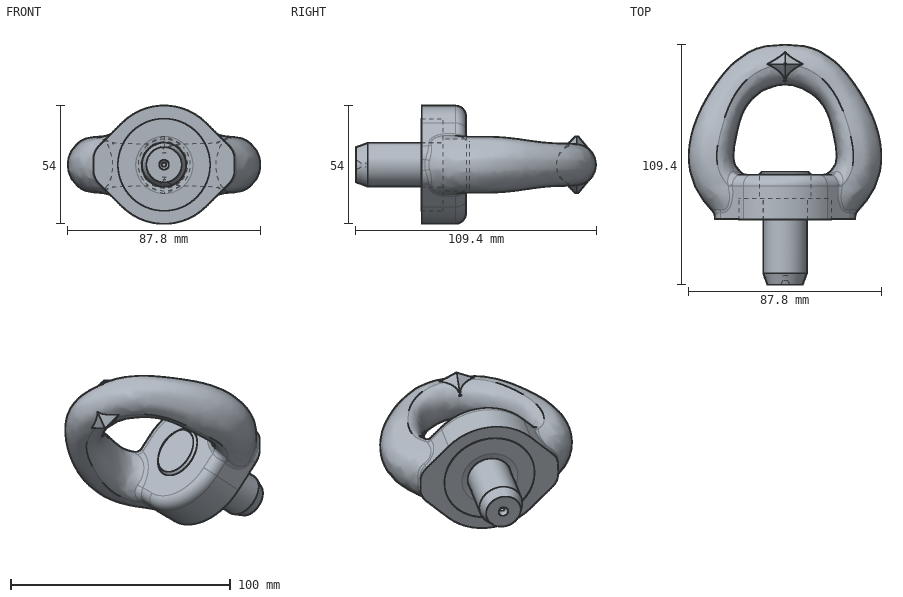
import cadquery as cq
import math


BASE_DIAMETER = 54.0
BASE_THICKNESS = 20.2
BASE_HALF_LENGTH = 32.0
BASE_CORNER_RADIUS = 8.8
BASE_BACK_FILLET = 5.0

RING_CROWN = ((0, 79.4), (0, 61.2), 9.2)
RING_SECTIONS = [
    ((24.3, 70.2), (13.1, 56.2), 9.7),
    ((37.0, 52.7), (20.5, 44.9), 11.2),
    ((43.9, 29.0), (23.4, 30.1), 12.8),
    ((42.6, 18.9), (22.8, 24.9), 12.8),
    ((38.5, 10.3), (19.3, 20.6), 13.1),
    ((31.3, -4.4), (13.6, 5.8), 13.1),
]

JOINT_FILLET = 3.1

PEAK_Y = 70.6
PEAK_HEIGHT = 13.0
PEAK_FOOT_HEIGHT = 5.5
PEAK_FOOT_HALF_WIDTH = 16.4
PEAK_FOOT_OUTER = 6.9
PEAK_FOOT_INNER = 8.0
PEAK_TIP_SIZE = 1.2

BUSH_DIAMETER = 42.0
BUSH_THICKNESS = 9.8
BUSH_PROUD = 0.3
BUSH_BORE = 20.2
BUSH_COUNTERSINK_DIAMETER = 26.0
BUSH_COUNTERSINK_DEPTH = 0.3

PIN_DIAMETER = 20.0
PIN_LENGTH = 30.0
PIN_TIP_DIAMETER = 16.1
PIN_TIP_LENGTH = 5.4
HEAD_DIAMETER = 23.6
HEAD_PROUD = 1.3
HEAD_CHAMFER = 1.2
CENTRE_DIAMETER = 4.5
CENTRE_PILOT_DIAMETER = 2.0
CENTRE_CONE_HALF_ANGLE = 30.0
CENTRE_DEPTH = 4.4

TOLERANCE = 0.01
TRIM_SIZE = 109.4

bush_top = BUSH_THICKNESS - BUSH_PROUD
head_top = BASE_THICKNESS + HEAD_PROUD
centre_cone_depth = (
    (CENTRE_DIAMETER - CENTRE_PILOT_DIAMETER) / 2 / math.tan(math.radians(CENTRE_CONE_HALF_ANGLE))
)


def cylinder(diameter, y_start, y_end):
    """Cylinder along Y between two heights."""
    return cq.Workplane("XZ", origin=(0, y_start, 0)).circle(diameter / 2).extrude(y_start - y_end)


def revolve_about_y(profile):
    """Solid of revolution about Y from (radius, y) points."""
    return cq.Workplane("XY").polyline(profile).close().revolve(360, (0, 0, 0), (0, 1, 0))


def make_base():
    """Round boss with 45-degree flanks running out to two narrow flat ends."""
    radius = BASE_DIAMETER / 2
    tangent = radius * math.sqrt(0.5)
    end_half_width = 2 * tangent - BASE_HALF_LENGTH
    plate = (
        cq.Workplane("XZ")
        .moveTo(BASE_HALF_LENGTH, -end_half_width)
        .lineTo(BASE_HALF_LENGTH, end_half_width)
        .lineTo(tangent, tangent)
        .threePointArc((0, radius), (-tangent, tangent))
        .lineTo(-BASE_HALF_LENGTH, end_half_width)
        .lineTo(-BASE_HALF_LENGTH, -end_half_width)
        .lineTo(-tangent, -tangent)
        .threePointArc((0, -radius), (tangent, -tangent))
        .close()
        .extrude(-BASE_THICKNESS)
    )
    corners = [
        edge for edge in plate.edges("|Y").vals() if abs(edge.Center().x) > BASE_HALF_LENGTH - TOLERANCE
    ]
    rounded = plate.newObject(corners).fillet(BASE_CORNER_RADIUS)
    return rounded.faces(">Y").edges().fillet(BASE_BACK_FILLET)


def ring_wire(section, side):
    """Ring section on the +X (side = 1) or -X (side = -1) half: outer half circle, inner half ellipse."""
    outer, inner, half_thickness = section
    outer_point = cq.Vector(side * outer[0], outer[1], 0)
    inner_point = cq.Vector(side * inner[0], inner[1], 0)
    across = outer_point - inner_point
    inner_depth = across.Length - half_thickness
    centre = inner_point + across.normalized() * inner_depth
    up = cq.Vector(0, 0, 1)
    inner_half = cq.Edge.makeEllipse(half_thickness, inner_depth, centre, across.cross(up), up, 0, 180)
    outer_half = cq.Edge.makeThreePointArc(
        centre - up * half_thickness, outer_point, centre + up * half_thickness
    )
    return cq.Wire.assembleEdges([inner_half, outer_half])


def make_ring():
    """Eye ring lofted from its right foot over the crown to its left foot, cut off at Y = 0."""
    right = [ring_wire(section, 1) for section in reversed(RING_SECTIONS)]
    left = [ring_wire(section, -1) for section in RING_SECTIONS]
    loft = cq.Solid.makeLoft(right + [ring_wire(RING_CROWN, 1)] + left)
    below = cq.Workplane("XY").box(TRIM_SIZE, TRIM_SIZE, TRIM_SIZE).translate((0, -TRIM_SIZE / 2, 0))
    return cq.Workplane(loft).cut(below)


def make_peak(side):
    """Four-sided peak on the crown."""
    tip = PEAK_TIP_SIZE / 2
    return (
        cq.Workplane("XY", origin=(0, PEAK_Y, side * PEAK_FOOT_HEIGHT))
        .polyline([
            (PEAK_FOOT_HALF_WIDTH, 0),
            (0, PEAK_FOOT_OUTER),
            (-PEAK_FOOT_HALF_WIDTH, 0),
            (0, -PEAK_FOOT_INNER),
        ])
        .close()
        .workplane(offset=side * (PEAK_HEIGHT - PEAK_FOOT_HEIGHT))
        .polyline([(tip, 0), (0, tip), (-tip, 0), (0, -tip)])
        .close()
        .loft(ruled=True)
    )


def blend_joint(housing, base, ring):
    """Fillet the edges along which the ring runs into the base, above the mounting face."""
    def on_surface(point, body):
        return min(point.distance(face) for face in body.faces().vals()) < TOLERANCE

    def on_joint(edge):
        middle = cq.Vertex.makeVertex(*edge.positionAt(0.5).toTuple())
        return middle.Y > TOLERANCE and on_surface(middle, base) and on_surface(middle, ring)

    joint = [edge for edge in housing.edges().vals() if on_joint(edge)]
    return housing.newObject(joint).fillet(JOINT_FILLET)


def make_housing():
    """Base and eye ring in one piece, bored for the bush and the bolt head."""
    base = make_base()
    ring = make_ring()
    housing = blend_joint(base.union(ring), base, ring)
    for side in (1, -1):
        housing = housing.union(make_peak(side))
    housing = housing.cut(cylinder(BUSH_DIAMETER, 0, bush_top))
    return housing.cut(cylinder(HEAD_DIAMETER, bush_top, BASE_THICKNESS))


def make_bush():
    """Flat bush with a shallow countersink round the pin."""
    bore = BUSH_BORE / 2
    rim = BUSH_DIAMETER / 2
    return revolve_about_y([
        (bore, bush_top),
        (rim, bush_top),
        (rim, -BUSH_PROUD),
        (BUSH_COUNTERSINK_DIAMETER / 2, -BUSH_PROUD),
        (bore, BUSH_COUNTERSINK_DEPTH - BUSH_PROUD),
    ])


def make_bolt():
    """Headed pin with a tapered, centre-drilled tip."""
    head = HEAD_DIAMETER / 2
    pin = PIN_DIAMETER / 2
    pilot = CENTRE_PILOT_DIAMETER / 2
    return revolve_about_y([
        (0, head_top),
        (head - HEAD_CHAMFER, head_top),
        (head, head_top - HEAD_CHAMFER),
        (head, bush_top),
        (pin, bush_top),
        (pin, PIN_TIP_LENGTH - PIN_LENGTH),
        (PIN_TIP_DIAMETER / 2, -PIN_LENGTH),
        (CENTRE_DIAMETER / 2, -PIN_LENGTH),
        (pilot, centre_cone_depth - PIN_LENGTH),
        (pilot, CENTRE_DEPTH - PIN_LENGTH),
        (0, CENTRE_DEPTH - PIN_LENGTH),
    ])


housing = make_housing()
bush = make_bush()
bolt = make_bolt()

result = cq.Compound.makeCompound([housing.solids().val(), bush.val(), bolt.val()])